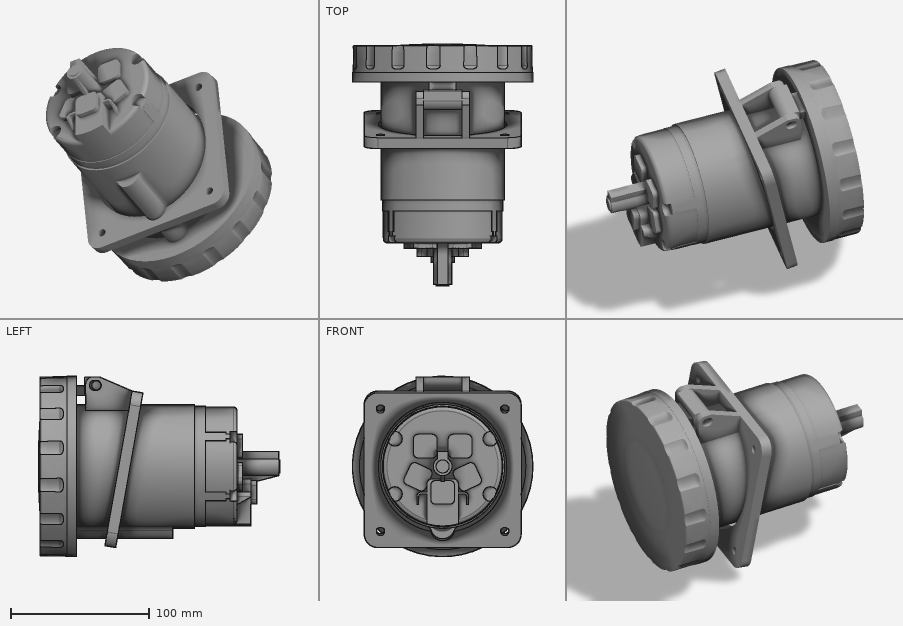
import cadquery as cq
import math


OVERALL_LENGTH = 175.1
CAP_BACK = 1.2
CAP_RIM = 20.7
CAP_FRONT = 27.7
KEY_END = 97.4
TUBE_END = 113.1
COLLAR_END = 121.0
COVER_FACE = 144.0
PAD_FACE = 148.0
EARTH_FACE = 154.0
EARTH_PAD_FACE = 158.2
POST_SHOULDER = 174.1

RIM_DIAMETER = 130.8
GRIP_RADIUS = 64.8
GRIP_DRAFT = 0.8
GRIP_EDGE_FILLET = 0.7
CROWN_RADIUS = 35.0
FACE_RECESS_RADIUS = 60.2
FACE_RECESS = 0.2
FLUTES = 15
FLUTE_RADIUS = 9.8
FLUTE_DEPTH = 1.4
FLUTE_END = 18.5
FLUTE_END_FILLET = 3.0

TUBE_RADIUS = 44.8
COLLAR_RADIUS = 43.6
COVER_RADIUS = 43.0
COVER_FILLET = 2.8
KEY_RADIUS = 8.8
KEY_REACH = 52.4
KEY_ROOT_FILLET = 4.4

SCREW_X = 34.5
SCREW_Z = 20.0
SCREW_RADIUS = 5.3
SCREW_FLOOR = 138.9
RIB_END = 135.9
RIB_WIDTH = 7.2
NECK_WIDTH = 4.0

PLATE_SIDE = 113.8
PLATE_THICKNESS = 8.0
PLATE_TILT = 10.0
PLATE_DEPTH = 62.0
PLATE_Z = -2.1
PLATE_CORNER = 10.2
PLATE_HOLE_PITCH = 90.0
PLATE_HOLE_RADIUS = 3.0
OPENING_CLEARANCE = 1.5
OPENING_DROP = 1.4

HINGE_DEPTH = 41.3
HINGE_TOP = 64.8
HINGE_BACK = 33.5
KNUCKLE_RADIUS = 6.1
KNUCKLE_HALF_WIDTH = 14.0
KNUCKLE_BOTTOM = 52.5
BRACKET_OUTER = 19.5
BRACKET_BACK = 34.3
BRACKET_CREST = 44.3
BRACKET_BOTTOM = 40.3
BRACKET_CORNER = 5.3
KNUCKLE_EDGE_FILLET = 0.9
PIN_SLOT_LENGTH = 8.5
PIN_SLOT_WIDTH = 7.4
PIN_RADIUS = 3.3
PIN_OFFSET = 0.7
PIN_LENGTH = 1.8
LUG_WIDTH = 19.6
LUG_TOP = 58.5
LUG_BOTTOM = 51.3

PAD_SIZE = 17.2
PAD_CORNER = 3.5
UPPER_PAD_X = 12.6
UPPER_PAD_Z = 14.7
SIDE_PAD_X = 17.9
SIDE_PAD_Z = -7.5
SIDE_PAD_TURN = 25.0
EARTH_PAD_Z = -18.7
EARTH_WIDTH = 22.8
EARTH_TOP = -9.0
EARTH_CORNER = 3.9
HOOK_REACH = 18.7
HOOK_TOP = -18.4
HOOK_THICKNESS = 1.4
HOOK_CORNER = 3.5
HOOK_TOE_ROOT = -27.7
HOOK_TOE_TIP = -22.0

POST_DIAMETER = 13.5
POST_TIP_RADIUS = 4.7
SPLINE_WIDTH = 7.7
SPLINE_TOP = 10.9
WEB_THICKNESS = 2.5
WEB_TIP_Z = -10.9


def plane_at(depth):
    """Workplane square to the axis; it extrudes towards greater depth."""
    return cq.Workplane("XZ").workplane(offset=depth)


def disc(radius, start, end, x=0.0, z=0.0):
    return plane_at(start).center(x, z).circle(radius).extrude(end - start)


def block(width, bottom, top, start, end):
    """Box centred on X = 0 between two heights and two depths."""
    middle = (bottom + top) / 2
    return plane_at(start).center(0, middle).rect(width, top - bottom).extrude(end - start)


def side_profile(points, x_start, x_end):
    """Prism along X from an outline given as (depth, z) points."""
    outline = [(-depth, z) for depth, z in points]
    return cq.Workplane("YZ").workplane(offset=x_start).polyline(outline).close().extrude(x_end - x_start)


def make_cap():
    cap = plane_at(CAP_BACK).circle(GRIP_RADIUS).extrude(CAP_RIM - CAP_BACK, taper=-GRIP_DRAFT)
    cap = cap.faces(">Y").edges().fillet(GRIP_EDGE_FILLET)

    flute_centre = GRIP_RADIUS - FLUTE_DEPTH + FLUTE_RADIUS
    flute = disc(FLUTE_RADIUS, 0, FLUTE_END, x=flute_centre)
    flute = flute.faces("<Y").edges().fillet(FLUTE_END_FILLET)
    for i in range(FLUTES):
        cap = cap.cut(flute.rotate((0, 0, 0), (0, 1, 0), i * 360 / FLUTES))

    crown = (
        cq.Workplane("XY")
        .moveTo(0, 0)
        .threePointArc((CROWN_RADIUS / 2, -CAP_BACK / 4), (CROWN_RADIUS, -CAP_BACK))
        .lineTo(0, -CAP_BACK)
        .close()
        .revolve(360, (0, 0, 0), (0, 1, 0))
    )
    rim = disc(RIM_DIAMETER / 2, CAP_RIM, CAP_FRONT)
    recess = disc(FACE_RECESS_RADIUS, CAP_FRONT - FACE_RECESS, CAP_FRONT)
    return cap.union(crown).union(rim).cut(recess)


def make_keyed_tube():
    """Round tube with a rounded key along its underside, blended into the tube."""
    key_z = KEY_RADIUS - KEY_REACH
    start = CAP_FRONT - FACE_RECESS
    tube = disc(TUBE_RADIUS, start, TUBE_END)
    tube = tube.union(disc(KEY_RADIUS, start, KEY_END, z=key_z))
    crease_zone = cq.selectors.BoxSelector(
        (-KEY_RADIUS, -KEY_END, -TUBE_RADIUS), (KEY_RADIUS, -CAP_FRONT, key_z + 1.8)
    )
    return tube.edges("|Y").edges(crease_zone).fillet(KEY_ROOT_FILLET)


def make_body():
    body = make_keyed_tube().union(disc(COLLAR_RADIUS, TUBE_END, COLLAR_END))
    cover = disc(COVER_RADIUS, COLLAR_END, COVER_FACE)
    return body.union(cover.faces("<Y").edges().fillet(COVER_FILLET))


def add_screw_pockets(body):
    angle = math.degrees(math.atan2(SCREW_Z, SCREW_X))
    for turn in (angle, -angle, 180 - angle, 180 + angle):
        for width, start, end in ((RIB_WIDTH, COLLAR_END, RIB_END), (NECK_WIDTH, RIB_END, SCREW_FLOOR)):
            rib = plane_at(start).center(COLLAR_RADIUS, 0).rect(2 * COLLAR_RADIUS, width).extrude(end - start)
            rib = rib.rotate((0, 0, 0), (0, 1, 0), turn)
            body = body.union(rib.intersect(disc(COLLAR_RADIUS, start, end)))
    for x in (-SCREW_X, SCREW_X):
        for z in (-SCREW_Z, SCREW_Z):
            body = body.cut(disc(SCREW_RADIUS, SCREW_FLOOR, COVER_FACE, x, z))
    return body


def make_plate_opening():
    """Clearance around the tube and its key, stretched downwards."""
    opening = disc(TUBE_RADIUS + OPENING_CLEARANCE, CAP_FRONT, KEY_END)
    opening = opening.union(opening.translate((0, 0, -OPENING_DROP)))
    key_z = KEY_RADIUS - KEY_REACH - OPENING_DROP
    return opening.union(disc(KEY_RADIUS, CAP_FRONT, KEY_END, z=key_z))


def make_plate():
    plate = (
        plane_at(-PLATE_THICKNESS / 2)
        .rect(PLATE_SIDE, PLATE_SIDE)
        .extrude(PLATE_THICKNESS)
        .edges("|Y")
        .fillet(PLATE_CORNER)
        .faces("<Y")
        .workplane()
        .rect(PLATE_HOLE_PITCH, PLATE_HOLE_PITCH, forConstruction=True)
        .vertices()
        .hole(2 * PLATE_HOLE_RADIUS)
    )
    plate = plate.rotate((0, 0, 0), (1, 0, 0), PLATE_TILT).translate((0, -PLATE_DEPTH, PLATE_Z))
    return plate.cut(make_plate_opening())


def make_hinge():
    tilt = math.radians(PLATE_TILT)
    edge_depth = PLATE_DEPTH + PLATE_SIDE / 2 * math.sin(tilt) - PLATE_THICKNESS / 2 * math.cos(tilt)
    edge_z = PLATE_Z + PLATE_SIDE / 2 * math.cos(tilt) + PLATE_THICKNESS / 2 * math.sin(tilt)
    foot_depth = PLATE_DEPTH + (BRACKET_BOTTOM - PLATE_Z) * math.tan(tilt)
    bracket_outline = [
        (BRACKET_BACK, BRACKET_BOTTOM),
        (BRACKET_BACK, HINGE_TOP),
        (BRACKET_CREST, HINGE_TOP),
        (edge_depth, edge_z),
        (foot_depth, BRACKET_BOTTOM),
    ]
    pin_z = HINGE_TOP - KNUCKLE_RADIUS

    hinge = block(2 * KNUCKLE_HALF_WIDTH, KNUCKLE_BOTTOM, HINGE_TOP, HINGE_BACK, HINGE_DEPTH)
    hinge = hinge.edges(">Y and >Z").fillet(KNUCKLE_EDGE_FILLET)
    knuckle = (
        cq.Workplane("YZ")
        .center(-HINGE_DEPTH, pin_z)
        .circle(KNUCKLE_RADIUS)
        .extrude(KNUCKLE_HALF_WIDTH, both=True)
    )
    hinge = hinge.union(knuckle).union(block(LUG_WIDTH, LUG_BOTTOM, LUG_TOP, CAP_RIM, HINGE_DEPTH))

    bracket = side_profile(bracket_outline, KNUCKLE_HALF_WIDTH, BRACKET_OUTER)
    bracket = bracket.edges("|X").edges(">Y and >Z").fillet(BRACKET_CORNER)
    pin_slot = (
        cq.Workplane("YZ", origin=(KNUCKLE_HALF_WIDTH, -HINGE_DEPTH, pin_z))
        .slot2D(PIN_SLOT_LENGTH, PIN_SLOT_WIDTH)
        .extrude(BRACKET_OUTER)
    )
    pin = (
        cq.Workplane("YZ", origin=(KNUCKLE_HALF_WIDTH, -HINGE_DEPTH - PIN_OFFSET, pin_z))
        .circle(PIN_RADIUS)
        .extrude(PIN_LENGTH)
    )
    bracket = bracket.cut(pin_slot).union(pin)
    return hinge.union(bracket).union(bracket.mirror("YZ"))


def make_pad(x, z, turn, start, end):
    pad = plane_at(start).rect(PAD_SIZE, PAD_SIZE).extrude(end - start).edges("|Y").fillet(PAD_CORNER)
    return pad.rotate((0, 0, 0), (0, 1, 0), turn).translate((x, 0, z))


def make_hook():
    """Thin wall across the earth block with a bent-down leg each side, cut to a slant."""
    hook = block(2 * HOOK_REACH, HOOK_TOE_ROOT, HOOK_TOP, COVER_FACE, EARTH_FACE)
    hook = hook.edges("|Y and >Z").fillet(HOOK_CORNER)
    inner = block(
        2 * (HOOK_REACH - HOOK_THICKNESS), HOOK_TOE_ROOT, HOOK_TOP - HOOK_THICKNESS, COVER_FACE, EARTH_FACE
    )
    hook = hook.cut(inner.edges("|Y and >Z").fillet(HOOK_CORNER - HOOK_THICKNESS))
    slant = [
        (COVER_FACE, HOOK_TOE_ROOT),
        (EARTH_FACE, HOOK_TOE_TIP),
        (EARTH_FACE, HOOK_TOE_ROOT),
    ]
    return hook.cut(side_profile(slant, -HOOK_REACH, HOOK_REACH))


def make_terminals():
    pads = make_pad(0, EARTH_PAD_Z, 0, EARTH_FACE, EARTH_PAD_FACE)
    for side in (-1, 1):
        pads = pads.union(make_pad(side * UPPER_PAD_X, UPPER_PAD_Z, 0, COVER_FACE, PAD_FACE))
        turn = -side * SIDE_PAD_TURN
        pads = pads.union(make_pad(side * SIDE_PAD_X, SIDE_PAD_Z, turn, COVER_FACE, PAD_FACE))

    earth_start = COVER_FACE - COVER_FILLET
    earth = block(EARTH_WIDTH, -COVER_RADIUS - 1.8, EARTH_TOP, earth_start, EARTH_FACE)
    earth = earth.edges("|Y and >Z").fillet(EARTH_CORNER)
    earth = earth.intersect(disc(COVER_RADIUS, earth_start, EARTH_FACE))
    return pads.union(earth).union(make_hook())


def make_post():
    post = disc(POST_DIAMETER / 2, COVER_FACE, POST_SHOULDER)
    post = post.union(disc(POST_TIP_RADIUS, POST_SHOULDER, OVERALL_LENGTH))
    post = post.union(block(SPLINE_WIDTH, 0, SPLINE_TOP, COVER_FACE, POST_SHOULDER))
    web_outline = [
        (COVER_FACE, 0),
        (POST_SHOULDER, 0),
        (POST_SHOULDER, -POST_DIAMETER / 2),
        (EARTH_PAD_FACE, WEB_TIP_Z),
        (COVER_FACE, WEB_TIP_Z),
    ]
    return post.union(side_profile(web_outline, -WEB_THICKNESS / 2, WEB_THICKNESS / 2))


result = (
    add_screw_pockets(make_body())
    .union(make_cap())
    .union(make_plate())
    .union(make_hinge())
    .union(make_terminals())
    .union(make_post())
)